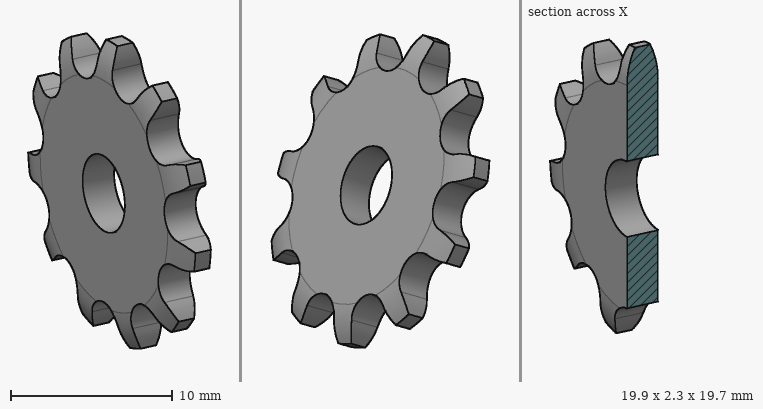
import cadquery as cq
import math

OVERALL_WIDTH = 19.85
TOOTH_COUNT = 11
THICKNESS = 2.3
BORE_DIAMETER = 5.0
PITCH_RADIUS = 8.87
SEAT_RADIUS = 1.6
SEAT_HALF_ANGLE = math.radians(74)
TIP_HALF_ANGLE = math.radians(3.8)
TIP_THICKNESS = 1.13
RELIEF_START_RADIUS = 7.56

TOOTH_ANGLE = 2 * math.pi / TOOTH_COUNT
WIDEST_TOOTH = math.ceil(TOOTH_COUNT / 4)
WIDEST_CORNER_ANGLE = WIDEST_TOOTH * TOOTH_ANGLE - TIP_HALF_ANGLE
TIP_RADIUS = OVERALL_WIDTH / 2 / math.sin(WIDEST_CORNER_ANGLE)

GAP_HALF_ANGLE = TOOTH_ANGLE / 2 - TIP_HALF_ANGLE
TIP_X = TIP_RADIUS * math.sin(GAP_HALF_ANGLE)
TIP_Z = TIP_RADIUS * math.cos(GAP_HALF_ANGLE)
NORMAL_X = math.sin(SEAT_HALF_ANGLE)
NORMAL_Z = -math.cos(SEAT_HALF_ANGLE)
SEAT_BOTTOM_Z = PITCH_RADIUS - SEAT_RADIUS
SEAT_END_X = SEAT_RADIUS * NORMAL_X
SEAT_END_Z = PITCH_RADIUS + SEAT_RADIUS * NORMAL_Z

CHORD_X = TIP_X - SEAT_END_X
CHORD_Z = TIP_Z - SEAT_END_Z
FLANK_RADIUS = (CHORD_X**2 + CHORD_Z**2) / (2 * (CHORD_X * NORMAL_X + CHORD_Z * NORMAL_Z))
FLANK_CENTER_X = SEAT_END_X + FLANK_RADIUS * NORMAL_X
FLANK_CENTER_Z = SEAT_END_Z + FLANK_RADIUS * NORMAL_Z
FLANK_MIDDLE_ANGLE = math.atan2(
    (SEAT_END_Z + TIP_Z) / 2 - FLANK_CENTER_Z,
    (SEAT_END_X + TIP_X) / 2 - FLANK_CENTER_X,
)
FLANK_MIDDLE_X = FLANK_CENTER_X + FLANK_RADIUS * math.cos(FLANK_MIDDLE_ANGLE)
FLANK_MIDDLE_Z = FLANK_CENTER_Z + FLANK_RADIUS * math.sin(FLANK_MIDDLE_ANGLE)

HALF_THICKNESS = THICKNESS / 2
RELIEF_LENGTH = TIP_RADIUS - RELIEF_START_RADIUS
RELIEF_DEPTH = (THICKNESS - TIP_THICKNESS) / 2
RELIEF_ARC_RADIUS = (RELIEF_LENGTH**2 + RELIEF_DEPTH**2) / (2 * RELIEF_DEPTH)


def turned(x, z, angle):
    """Point turned about the wheel axis by an angle, from +Z toward +X."""
    return (
        x * math.cos(angle) + z * math.sin(angle),
        z * math.cos(angle) - x * math.sin(angle),
    )


def make_toothed_plate():
    """Plate of full thickness with the complete tooth outline."""
    first_gap = TOOTH_ANGLE / 2
    outline = cq.Workplane("XZ").moveTo(*turned(-TIP_X, TIP_Z, first_gap))
    for index in range(TOOTH_COUNT):
        gap = first_gap + index * TOOTH_ANGLE
        next_tooth = gap + TOOTH_ANGLE / 2
        next_gap = gap + TOOTH_ANGLE
        outline = (
            outline
            .threePointArc(
                turned(-FLANK_MIDDLE_X, FLANK_MIDDLE_Z, gap),
                turned(-SEAT_END_X, SEAT_END_Z, gap),
            )
            .threePointArc(
                turned(0, SEAT_BOTTOM_Z, gap),
                turned(SEAT_END_X, SEAT_END_Z, gap),
            )
            .threePointArc(
                turned(FLANK_MIDDLE_X, FLANK_MIDDLE_Z, gap),
                turned(TIP_X, TIP_Z, gap),
            )
            .threePointArc(
                turned(0, TIP_RADIUS, next_tooth),
                turned(-TIP_X, TIP_Z, next_gap),
            )
        )
    return outline.close().extrude(HALF_THICKNESS, both=True)


def make_relief_envelope():
    """Disc turned about Y whose faces curve in toward the tip on both sides."""
    half_length = RELIEF_LENGTH / 2
    middle_radius = RELIEF_START_RADIUS + half_length
    middle_drop = RELIEF_ARC_RADIUS - math.sqrt(RELIEF_ARC_RADIUS**2 - half_length**2)
    middle_y = HALF_THICKNESS - middle_drop
    tip_y = TIP_THICKNESS / 2
    return (
        cq.Workplane("XY")
        .moveTo(0, -HALF_THICKNESS)
        .lineTo(RELIEF_START_RADIUS, -HALF_THICKNESS)
        .threePointArc((middle_radius, -middle_y), (TIP_RADIUS, -tip_y))
        .lineTo(TIP_RADIUS, tip_y)
        .threePointArc((middle_radius, middle_y), (RELIEF_START_RADIUS, HALF_THICKNESS))
        .lineTo(0, HALF_THICKNESS)
        .close()
        .revolve(360, (0, 0, 0), (0, 1, 0))
    )


def make_bore():
    """Cylinder for the central through hole, longer than the plate is thick."""
    return cq.Workplane("XZ").circle(BORE_DIAMETER / 2).extrude(THICKNESS, both=True)


result = make_toothed_plate().intersect(make_relief_envelope()).cut(make_bore())